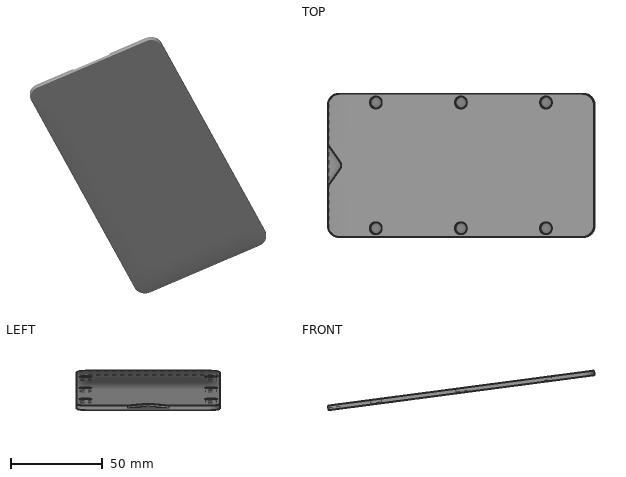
import cadquery as cq

plate_length = 146.555
plate_width = 78.42
plate_thickness = 3.0
corner_radius = 6.42
edge_chamfer = 0.5
tilt_angle = 7.5

recess_diameter = 6.0
recess_depth = 2.0
recess_chamfer = 0.5
recess_spacing = 46.67
recess_edge_distance = 5.0

notch_length = 8.0
notch_width = 22.6
notch_depth = 1.5
notch_tip_radius = 3.0
notch_chamfer = 0.5
flare_angle = 45

top_z = plate_thickness / 2
left_x = -plate_length / 2


def make_plate():
    """Rounded rectangle with both rims chamfered."""
    plate = cq.Workplane("XY").box(plate_length, plate_width, plate_thickness)
    plate = plate.edges("|Z").fillet(corner_radius)
    return plate.faces("<Z or >Z").edges().chamfer(edge_chamfer)


def make_recess_cutter():
    """Revolved profile of one recess, its mouth at Z = 0."""
    radius = recess_diameter / 2
    profile = [
        (0, 0),
        (radius + recess_chamfer, 0),
        (radius, -recess_chamfer),
        (radius, -recess_depth),
        (0, -recess_depth),
    ]
    return cq.Workplane("XZ").polyline(profile).close().revolve(360, (0, 0, 0), (0, 1, 0))


def cut_recesses(plate):
    """Two rows of three flat-bottomed recesses with chamfered mouths."""
    cutter = make_recess_cutter()
    row_y = plate_width / 2 - recess_edge_distance
    for column in (-1, 0, 1):
        for side in (-1, 1):
            plate = plate.cut(cutter.translate((column * recess_spacing, side * row_y, top_z)))
    return plate


def make_notch_cutter():
    """Triangular prism with a rounded tip, flaring outwards at its upper rim."""
    tip_x = left_x + notch_length
    base_x = left_x - notch_length
    outline = (
        cq.Sketch()
        .polygon([(tip_x, 0), (base_x, notch_width), (base_x, -notch_width), (tip_x, 0)])
        .vertices(">X")
        .fillet(notch_tip_radius)
    )
    prism = cq.Workplane("XY", origin=(0, 0, top_z - notch_depth)).placeSketch(outline).extrude(notch_depth)
    rim_plane = cq.Workplane("XY", origin=(0, 0, top_z - notch_chamfer))
    flare = rim_plane.placeSketch(outline).extrude(notch_chamfer, taper=-flare_angle)
    return prism.union(flare)


def cut_notch(plate):
    """Cut the finger notch, leaving a flat floor parallel to the plate."""
    return plate.cut(make_notch_cutter())


result = cut_notch(cut_recesses(make_plate()))
result = result.rotate((0, 0, 0), (0, 1, 0), -tilt_angle)